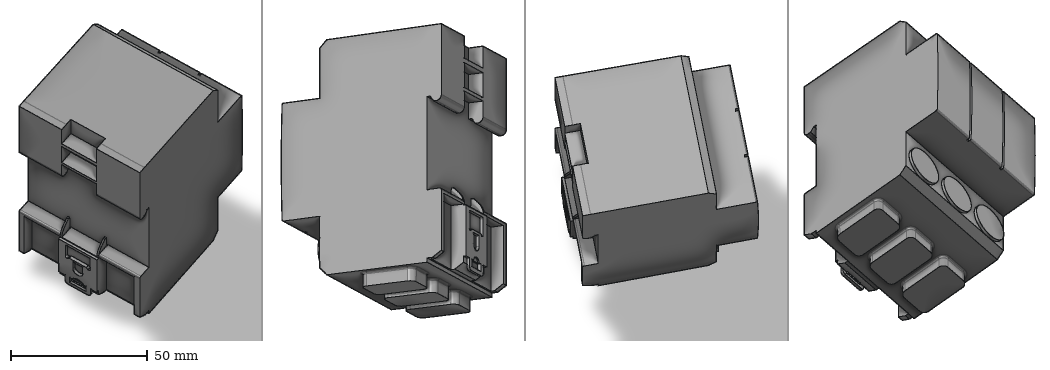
import cadquery as cq
import math


height = 95.5
left_half = 26.8
right_half = 27.2
rail_depth = 5.8
flat_depth = 3.0
draft = math.tan(math.radians(0.4))
body_depth = 49.9
nose_depth = 65.3
nose_bulge = 0.4
nose_front = nose_depth + nose_bulge
nose_bottom = 28.4
nose_top = 73.25
nose_edge_radius = 0.6
shoulder_chamfer = 3.0
base_z = 5.4

hook_z = 68.5
hook_tip_z = 66.5
hook_radius = 2.1
hook_flat_end = 3.15
hook_root = 4.7
ledge_z = 33.0
ledge_radius = 0.7
foot_z = 9.3
foot_slope_depth = 3.5
lip_z = 7.1

window_width = 15.5
rib_spans = [(85.4, 87.1), (74.6, 75.9)]

pocket_depth = 5.1
pocket_top = 31.4
pocket_outer = 24.6

clip_x = 0.2
clip_width = 17.2
clip_thickness = 1.05
clip_top = 31.0
window_recess = 0.3
clip_shoulder_z = 11.6
tongue_width = 11.5
tongue_radius = 1.5
grip_width = 11.1
grip_top = 29.7
grip_bottom = 22.25
grip_step = 0.8
grip_step_half_width = 3.8
grip_radius = 0.6
key_width = 4.4
key_top = 22.0
key_bottom = 15.7
slot_width = 7.3
slot_bottom = 8.7
arch_width = 4.8
arch_height = 1.6
arch_depth = 0.6
fin_thickness = 0.8
fin_top = 38.1
fin_root = 5.35
fin_tip_inner = 5.0
fin_tip_outer = 4.0
fin_shoulder = (1.7, 35.8)
fin_arc_middle = (0.6, 34.2)

module_pitch = 18.0
groove_width = 0.9
groove_floor = 64.0
disc_diameter = 15.1
disc_height = 1.1
disc_z = 16.2
tab_width = 13.0
tab_length = 21.5
tab_rear = 12.6
tab_radius = 2.4
tab_embed = 1.9
tab_root_radius = 0.9

module_offsets = [-module_pitch, 0, module_pitch]


def block(x_min, x_max, y_min, y_max, z_min, z_max):
    """Box given by its limits along the three axes."""
    size = (x_max - x_min, y_max - y_min, z_max - z_min)
    return cq.Workplane("XY").box(*size, centered=False).translate((x_min, y_min, z_min))


def centred_block(half_width, y_min, y_max, z_min, z_max):
    """Box lying symmetrically about the middle plane."""
    return block(-half_width, half_width, y_min, y_max, z_min, z_max)


def make_housing():
    """Side profile with the rail hook, trimmed by the draft of the left side."""
    chamfer_y = body_depth - shoulder_chamfer
    front_top = height - draft * (chamfer_y - flat_depth)
    front_bottom = base_z + draft * (chamfer_y - rail_depth)
    arc_offset = hook_radius * (1 - math.sqrt(0.5))
    profile = (
        cq.Workplane("YZ")
        .moveTo(0, height)
        .lineTo(flat_depth, height)
        .lineTo(chamfer_y, front_top)
        .lineTo(body_depth, front_top - shoulder_chamfer)
        .lineTo(body_depth, nose_top)
        .lineTo(nose_depth, nose_top)
        .threePointArc(
            (nose_front, (nose_top + nose_bottom) / 2),
            (nose_depth, nose_bottom),
        )
        .lineTo(body_depth, nose_bottom)
        .lineTo(body_depth, front_bottom + shoulder_chamfer)
        .lineTo(chamfer_y, front_bottom)
        .lineTo(rail_depth, base_z)
        .lineTo(rail_depth, lip_z)
        .lineTo(foot_slope_depth, lip_z)
        .lineTo(0, foot_z)
        .lineTo(0, ledge_z)
        .lineTo(rail_depth, ledge_z)
        .lineTo(rail_depth, hook_z)
        .lineTo(hook_root, hook_z)
        .lineTo(hook_flat_end, hook_tip_z)
        .lineTo(hook_radius, hook_tip_z)
        .threePointArc(
            (arc_offset, hook_tip_z + arc_offset),
            (0, hook_tip_z + hook_radius),
        )
        .close()
        .extrude(right_half, both=True)
    )
    profile = profile.edges("|X").edges(">Y").fillet(nose_edge_radius)
    ledge_edge = cq.selectors.NearestToPointSelector((0, 0, ledge_z))
    profile = profile.edges(ledge_edge).fillet(ledge_radius)

    plan = (
        cq.Workplane("XY")
        .polyline([
            (-left_half, 0),
            (right_half, 0),
            (right_half, nose_front),
            (-left_half + draft * nose_front, nose_front),
        ])
        .close()
        .extrude(height)
    )
    return profile.intersect(plan)


def cut_rear_window(body):
    """Open the middle of the upper rear block, leaving the cross ribs."""
    half = window_width / 2
    opening = centred_block(half, 0, rail_depth, hook_tip_z, height)
    for rib_bottom, rib_top in rib_spans:
        opening = opening.cut(centred_block(half, 0, rail_depth, rib_bottom, rib_top))
    return body.cut(opening)


def cut_rear_pockets(body):
    """Pockets left and right of the clip and the lowered ledge between its fins."""
    inner = clip_width / 2
    body = body.cut(block(-pocket_outer, clip_x - inner, 0, pocket_depth, lip_z, pocket_top))
    body = body.cut(block(clip_x + inner, pocket_outer, 0, pocket_depth, lip_z, pocket_top))
    ledge_gap = centred_block(inner, 0, rail_depth, pocket_top, ledge_z)
    return body.cut(ledge_gap.translate((clip_x, 0, 0)))


def make_clip():
    """Clip plate with its rounded tongue."""
    plate = centred_block(clip_width / 2, -clip_thickness, 0, clip_shoulder_z, clip_top)
    tongue = centred_block(tongue_width / 2, -clip_thickness, 0, lip_z, clip_shoulder_z)
    tongue = tongue.edges("|Y and <Z").fillet(tongue_radius)
    return plate.union(tongue)


def make_clip_openings():
    """Grip window, key window, slot and arch recess, to be cut from the clip."""
    outer = -clip_thickness
    opening_depth = clip_thickness + window_recess
    outer_face = cq.Workplane("XZ", origin=(0, outer, 0))

    grip = centred_block(grip_width / 2, outer, window_recess, grip_bottom, grip_top)
    grip = grip.edges("|Y").fillet(grip_radius)
    step_top = grip_bottom + grip_step
    step = (
        outer_face
        .polyline([
            (-grip_step_half_width - grip_step, grip_bottom),
            (-grip_step_half_width, step_top),
            (grip_step_half_width, step_top),
            (grip_step_half_width + grip_step, grip_bottom),
        ])
        .close()
        .extrude(-opening_depth)
    )

    key_half = key_width / 2
    key = (
        outer_face
        .moveTo(-key_half, key_top)
        .lineTo(-key_half, key_bottom + key_half)
        .threePointArc((0, key_bottom), (key_half, key_bottom + key_half))
        .lineTo(key_half, key_top)
        .close()
        .extrude(-opening_depth)
    )

    slot = centred_block(slot_width / 2, outer, window_recess, slot_bottom, clip_shoulder_z)
    arch = (
        outer_face
        .moveTo(-arch_width / 2, clip_shoulder_z)
        .threePointArc((0, clip_shoulder_z + arch_height), (arch_width / 2, clip_shoulder_z))
        .close()
        .extrude(-arch_depth)
    )
    return grip.cut(step).union(key).union(slot).union(arch)


def make_fin():
    """Guide fin that stands on the ledge; its left face lies at X = 0."""
    foot = (0, ledge_z - ledge_radius)
    return (
        cq.Workplane("YZ")
        .moveTo(fin_root, pocket_top)
        .lineTo(fin_tip_inner, fin_top)
        .lineTo(fin_tip_outer, fin_top)
        .lineTo(*fin_shoulder)
        .threePointArc(fin_arc_middle, foot)
        .lineTo(0, pocket_top)
        .close()
        .extrude(fin_thickness)
    )


def make_tab():
    """Rounded terminal tab, square to the drafted underside of the housing."""
    tab = centred_block(tab_width / 2, tab_rear, tab_rear + tab_length, 0, base_z + tab_embed)
    tab = tab.edges("|Z").fillet(tab_radius)
    pivot = (0, tab_rear, 0)
    return tab.rotate(pivot, (1, tab_rear, 0), math.degrees(math.atan(draft)))


def make_disc():
    """Round boss on the lower terminal shoulder."""
    return (
        cq.Workplane("XZ", origin=(0, body_depth, disc_z))
        .circle(disc_diameter / 2)
        .extrude(-disc_height)
    )


def add_tabs(body):
    """Add the tabs and round the corner where they meet the underside."""
    for x in module_offsets:
        body = body.union(make_tab().translate((x, 0, 0)))
    margin = 0.5
    root = cq.selectors.BoxSelector(
        (-left_half + margin, tab_rear - margin, base_z - margin),
        (right_half - margin, tab_rear + tab_length + margin, base_z + margin),
    )
    return body.edges(root).fillet(tab_root_radius)


result = add_tabs(make_housing())
result = cut_rear_window(result)
result = cut_rear_pockets(result)
result = result.union(make_clip().translate((clip_x, 0, 0)))
result = result.cut(make_clip_openings().translate((clip_x, 0, 0)))

for fin_offset in (-clip_width / 2, clip_width / 2 - fin_thickness):
    result = result.union(make_fin().translate((clip_x + fin_offset, 0, 0)))

for x in module_offsets:
    result = result.union(make_disc().translate((x, 0, 0)))

for x in (-module_pitch / 2, module_pitch / 2):
    groove = centred_block(groove_width / 2, groove_floor, nose_front, nose_bottom, nose_top)
    result = result.cut(groove.translate((x, 0, 0)))